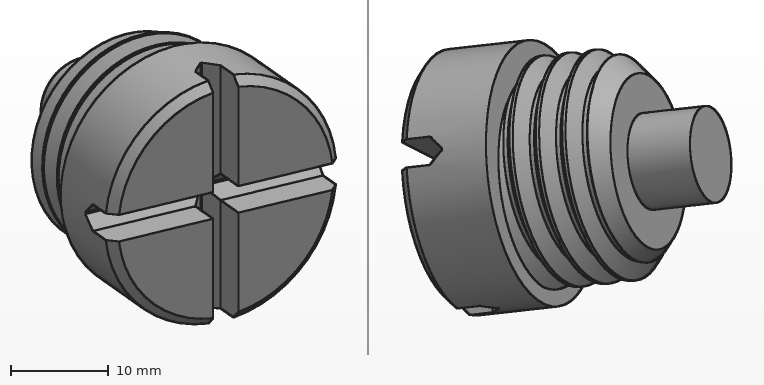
import cadquery as cq
import math

total_length = 29.0
pin_length = 7.08
head_length = 10.0
head_start = total_length - head_length

pin_diameter = 10.0
head_diameter = 27.5
head_chamfer = 1.0
slot_width = 3.0
slot_depth = 5.0
slot_tip_width = 0.2

thread_diameter = 24.0
thread_pitch = 3.0
thread_depth = 1.83
thread_flank_angle = math.radians(30)
thread_crest_width = 0.38
lead_chamfer = 2.9
groove_station = 8.73
groove_overcut = 0.2


def rod(diameter, start, length):
    return cq.Workplane("YZ", origin=(start, 0, 0)).circle(diameter / 2).extrude(length)


def thread_groove():
    """Helical trapezoidal cutter that runs past both ends of the threaded body."""
    crest_radius = thread_diameter / 2
    root_radius = crest_radius - thread_depth
    outer_radius = crest_radius + groove_overcut
    flank_slope = math.tan(thread_flank_angle)
    outer_half = (thread_pitch - thread_crest_width) / 2 + groove_overcut * flank_slope
    root_half = outer_half - (outer_radius - root_radius) * flank_slope

    start = groove_station - thread_pitch
    helix_length = head_start + thread_pitch - start
    helix = cq.Wire.makeHelix(thread_pitch, helix_length, root_radius)
    cutter = (
        cq.Workplane("XZ")
        .polyline([
            (root_radius, -root_half),
            (outer_radius, -outer_half),
            (outer_radius, outer_half),
            (root_radius, root_half),
        ])
        .close()
        .sweep(cq.Workplane(obj=helix), isFrenet=True)
    )
    return cutter.rotate((0, 0, 0), (0, 1, 0), 90).translate((start, 0, 0))


def threaded_body():
    length = head_start - pin_length
    grooved = rod(thread_diameter, pin_length, length).cut(thread_groove())
    envelope = rod(thread_diameter + 2 * groove_overcut, pin_length, length)
    lead_cone = envelope.faces("<X").chamfer(lead_chamfer + groove_overcut)
    return grooved.intersect(lead_cone)


def slot_cutter():
    """Slot across the full head along Y, with a 90 degree tapered bottom."""
    half_width = slot_width / 2
    half_tip = slot_tip_width / 2
    tip_x = total_length - slot_depth
    shoulder_x = tip_x + half_width - half_tip
    return (
        cq.Workplane("XZ")
        .polyline([
            (total_length, -half_width),
            (shoulder_x, -half_width),
            (tip_x, -half_tip),
            (tip_x, half_tip),
            (shoulder_x, half_width),
            (total_length, half_width),
        ])
        .close()
        .extrude(head_diameter, both=True)
    )


def slotted_head():
    head = rod(head_diameter, head_start, head_length).faces(">X").chamfer(head_chamfer)
    for angle in (0, 90):
        head = head.cut(slot_cutter().rotate((0, 0, 0), (1, 0, 0), angle))
    return head


pin = rod(pin_diameter, 0, pin_length)
result = pin.union(threaded_body()).union(slotted_head())